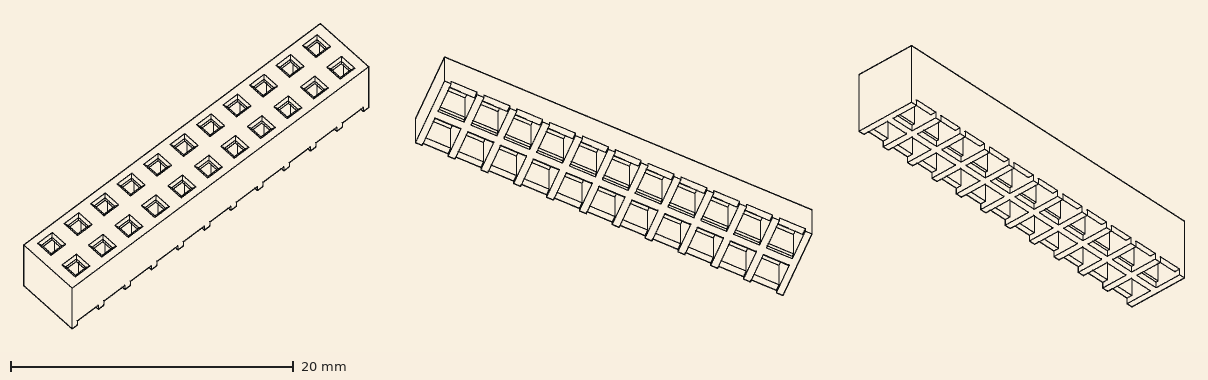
import cadquery as cq

pitch = 2.54
rows = 11
columns = 2

end_margin = 0.25
height = 5.0
width = columns * pitch
length = rows * pitch + 2 * end_margin

entry_size = 1.0
lead_in_size = 1.4
lead_in_depth = 0.2
entry_depth = 0.5

pocket_height = 0.5
pocket_length = 2.0
wall = pitch - pocket_length
pocket_depth = (width - wall) / 2

cavity_width = 1.6
cavity_length = pocket_length
cavity_top = height - entry_depth


def grid_positions(count):
    """Centred coordinates of evenly pitched contacts."""
    return [(i - (count - 1) / 2) * pitch for i in range(count)]


def upright_block(x, y, size_x, size_y, bottom, top):
    """Upright rectangular block centred on (x, y)."""
    return cq.Workplane("XY", origin=(x, y, bottom)).rect(size_x, size_y).extrude(top - bottom)


def underside_pocket(side, y):
    """Pocket running in from the long side at +X (side = 1) or -X (side = -1)."""
    x = side * (width - pocket_depth) / 2
    return upright_block(x, y, pocket_depth, pocket_length, 0, pocket_height)


def contact_cavity(x, y):
    """Cavity under the entry that holds one contact."""
    return upright_block(x, y, cavity_width, cavity_length, 0, cavity_top)


def contact_entry(x, y):
    """Square entry from the top into the cavity, with its tapered lead-in."""
    opening = upright_block(x, y, entry_size, entry_size, cavity_top, height)
    lead_in = (
        cq.Workplane("XY", origin=(x, y, height - lead_in_depth))
        .rect(entry_size, entry_size)
        .workplane(offset=lead_in_depth)
        .rect(lead_in_size, lead_in_size)
        .loft(ruled=True)
    )
    return opening.union(lead_in)


cutters = []
for row_y in grid_positions(rows):
    for side in (-1, 1):
        cutters.append(underside_pocket(side, row_y).val())
    for column_x in grid_positions(columns):
        cutters.append(contact_cavity(column_x, row_y).val())
        cutters.append(contact_entry(column_x, row_y).val())

housing = upright_block(0, 0, width, length, 0, height)
result = cq.Workplane("XY").newObject([housing.val().cut(*cutters)]).solids()